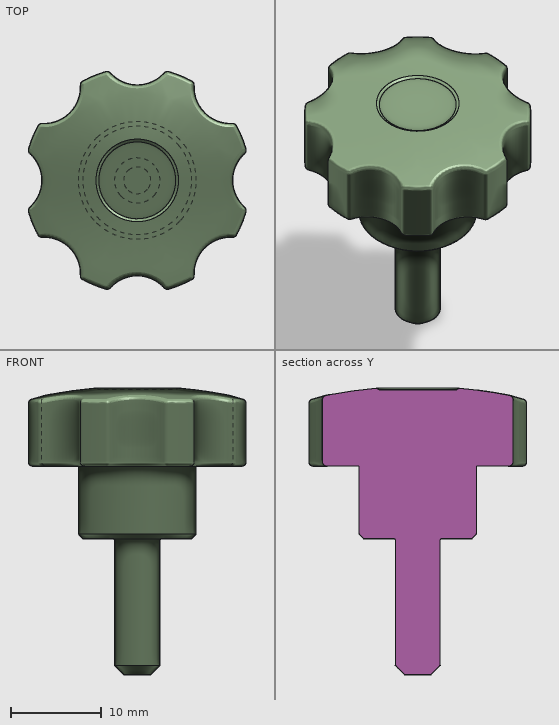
import cadquery as cq
import math

TOTAL_HEIGHT = 31.65
STUD_LENGTH = 15.0
HUB_LENGTH = 8.0
HUB_BOTTOM = STUD_LENGTH
HEAD_BOTTOM = HUB_BOTTOM + HUB_LENGTH

STUD_RADIUS = 5.0 / 2
STUD_TIP_CHAMFER = 1.0
STUD_ROOT_FILLET = 0.2
HUB_RADIUS = 13.0 / 2
HUB_CHAMFER = 0.5

HEAD_RADIUS = 12.5
SCALLOP_COUNT = 8
SCALLOP_RADIUS = 4.0
SCALLOP_FLOOR_RADIUS = 10.55
HEAD_EDGE_FILLET = 0.5

DOME_RADIUS = 51.92
DISH_RIM_RADIUS = 4.55
DISH_FLOOR_RADIUS = 4.25
DISH_DEPTH = 0.2
DISH_CUT_OVERRUN = 0.32


def make_head():
    """Scalloped disc under a spherical crown, with rounded corners and rims."""
    dome_center = TOTAL_HEIGHT - math.sqrt(DOME_RADIUS**2 - DISH_RIM_RADIUS**2)
    dome_apex = dome_center + DOME_RADIUS

    head = (
        cq.Workplane("XY")
        .workplane(offset=HEAD_BOTTOM)
        .circle(HEAD_RADIUS)
        .extrude(dome_apex - HEAD_BOTTOM)
    )
    scallops = (
        cq.Workplane("XY")
        .workplane(offset=HEAD_BOTTOM)
        .polarArray(SCALLOP_FLOOR_RADIUS + SCALLOP_RADIUS, 0, 360, SCALLOP_COUNT)
        .circle(SCALLOP_RADIUS)
        .extrude(dome_apex - HEAD_BOTTOM)
    )

    dome = cq.Workplane("XY").sphere(DOME_RADIUS).translate((0, 0, dome_center))
    return head.cut(scallops).intersect(dome).edges().fillet(HEAD_EDGE_FILLET)


def make_dish_cutter():
    """Flat-floored cone that also takes off the tip of the dome."""
    flare = (DISH_RIM_RADIUS - DISH_FLOOR_RADIUS) / DISH_DEPTH
    cutter_height = DISH_DEPTH + DISH_CUT_OVERRUN
    cutter_top_radius = DISH_FLOOR_RADIUS + flare * cutter_height
    floor_center = cq.Vector(0, 0, TOTAL_HEIGHT - DISH_DEPTH)
    cone = cq.Solid.makeCone(DISH_FLOOR_RADIUS, cutter_top_radius, cutter_height, floor_center)
    return cq.Workplane(cone)


def make_hub_and_stud():
    """Turned hub and stud, revolved about Z from half of their section."""
    root_radius = STUD_RADIUS + STUD_ROOT_FILLET
    root_bottom = HUB_BOTTOM - STUD_ROOT_FILLET
    root_arc_offset = STUD_ROOT_FILLET * (1 - math.sqrt(0.5))
    root_arc_middle = (STUD_RADIUS + root_arc_offset, HUB_BOTTOM - root_arc_offset)
    return (
        cq.Workplane("XZ")
        .moveTo(0, 0)
        .lineTo(STUD_RADIUS - STUD_TIP_CHAMFER, 0)
        .lineTo(STUD_RADIUS, STUD_TIP_CHAMFER)
        .lineTo(STUD_RADIUS, root_bottom)
        .threePointArc(root_arc_middle, (root_radius, HUB_BOTTOM))
        .lineTo(HUB_RADIUS - HUB_CHAMFER, HUB_BOTTOM)
        .lineTo(HUB_RADIUS, HUB_BOTTOM + HUB_CHAMFER)
        .lineTo(HUB_RADIUS, HEAD_BOTTOM)
        .lineTo(0, HEAD_BOTTOM)
        .close()
        .revolve(360, (0, 0, 0), (0, 1, 0))
    )


result = make_head().cut(make_dish_cutter()).union(make_hub_and_stud())